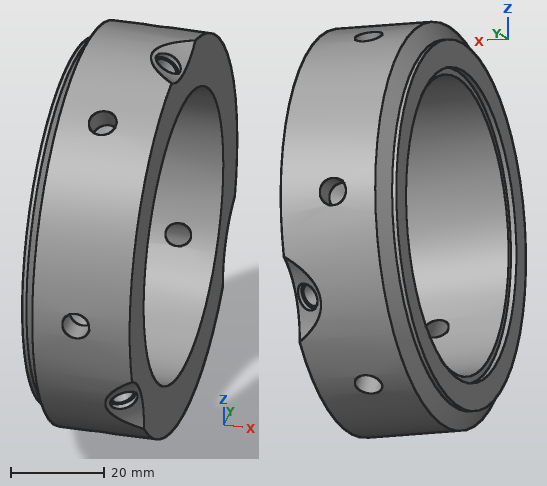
import cadquery as cq
import math

width = 25.0
outer_radius = 44.0
bore_radius = 65.0 / 2
recess_radius = 68.0 / 2
recess_depth = 1.2
lip_radius = 80.0 / 2
lip_width = 1.0
bevel_end = 3.3

blind_count = 6
blind_radius = 6.0 / 2
blind_x = 13.0
blind_depth = 5.9
drill_point_angle = 118.0
clearance = 0.9

tilted_count = 3
tilt = 30.0
scallop_start = 18.0
hole_offset = 4.1
hole_radius = 4.9 / 2
counterbore_radius = 6.1 / 2
counterbore_depth = 1.1
scallop_radius = 20.0
scallop_length = 26.4
inner_reach = 14.1


def revolve_about_x(points):
    """Revolve an outline of (x, radius) points about the ring axis."""
    return cq.Workplane("XY").polyline(points).close().revolve(360, (0, 0, 0), (1, 0, 0))


def revolve_about_z(points):
    """Revolve an outline of (radius, height) points about the Z axis."""
    return cq.Workplane("XZ").polyline(points).close().revolve(360, (0, 0, 0), (0, 1, 0))


def make_ring():
    return revolve_about_x([
        (0, recess_radius),
        (0, lip_radius),
        (lip_width, lip_radius),
        (bevel_end, outer_radius),
        (width, outer_radius),
        (width, bore_radius),
        (recess_depth, bore_radius),
        (recess_depth, recess_radius),
    ])


def make_blind_cutter():
    floor = outer_radius - blind_depth
    point_depth = blind_radius / math.tan(math.radians(drill_point_angle / 2))
    cutter = revolve_about_z([
        (0, floor - point_depth),
        (blind_radius, floor),
        (blind_radius, outer_radius + clearance),
        (0, outer_radius + clearance),
    ])
    return cutter.translate((blind_x, 0, 0))


def make_tilted_cutter():
    """Scallop with a counterbored hole square to its floor, leaning outward toward +X."""
    scallop = (
        cq.Workplane("YZ", origin=(-scallop_length / 2, 0, scallop_radius))
        .circle(scallop_radius)
        .extrude(scallop_length)
    )
    hole = revolve_about_z([
        (0, -inner_reach),
        (hole_radius, -inner_reach),
        (hole_radius, -counterbore_depth),
        (counterbore_radius, -counterbore_depth),
        (counterbore_radius, counterbore_radius),
        (0, counterbore_radius),
    ])
    cutter = scallop.union(hole.translate((hole_offset, 0, 0)))
    return cutter.rotate((0, 0, 0), (0, 1, 0), tilt).translate((scallop_start, 0, outer_radius))


def cut_around(body, cutter, count, start_angle):
    """Cut equally spaced copies of a cutter around the ring axis."""
    for i in range(count):
        angle = start_angle + i * 360 / count
        body = body.cut(cutter.rotate((0, 0, 0), (1, 0, 0), angle))
    return body


result = make_ring()
result = cut_around(result, make_blind_cutter(), blind_count, 180 / blind_count)
result = cut_around(result, make_tilted_cutter(), tilted_count, 0)